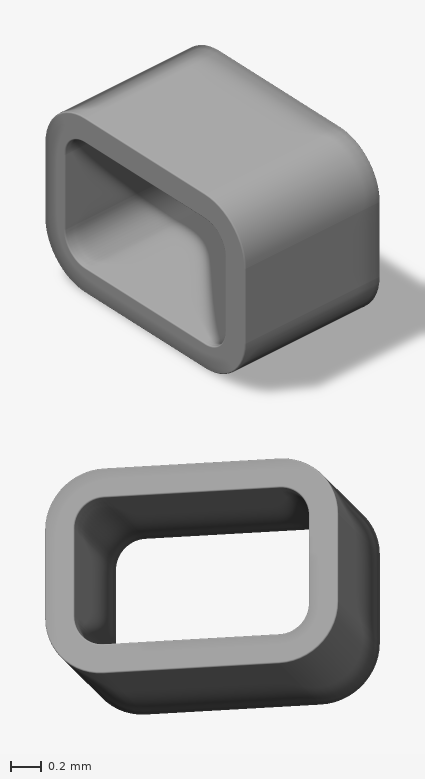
import cadquery as cq

width = 2.0
depth = 1.2
height = 1.4
wall = 0.2
outer_radius = 0.4
inner_radius = outer_radius - wall
edge_round = 0.01


def rounded_bar(size_x, size_z, corner_radius):
    """Solid bar along Y, centred on the origin, with rounded long edges."""
    return cq.Workplane("XY").box(size_x, depth, size_z).edges("|Y").fillet(corner_radius)


outer_body = rounded_bar(width, height, outer_radius)
opening = rounded_bar(width - 2 * wall, height - 2 * wall, inner_radius)
sleeve = outer_body.cut(opening)

result = sleeve.faces("<Y or >Y").edges().fillet(edge_round)